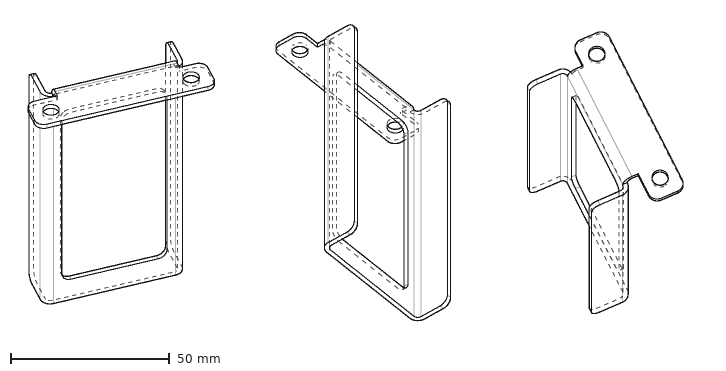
import cadquery as cq

thickness = 1.6
inner_bend = 1.6
outer_bend = inner_bend + thickness
corner_radius = 3.0

total_depth = 29.5
total_height = 90.0
tab_width = 59.85

channel_width = 47.3
channel_depth = 14.0
channel_height = total_height - outer_bend
wall_front = channel_depth - thickness
neck_width = channel_width - 2 * outer_bend

window_width = 35.1
window_height = 69.75
window_bottom = 8.55

tab_offset = -1.2
tab_front = 17.8
hole_diameter = 5.1
hole_spacing = 46.8
hole_x = 23.5


def make_channel():
    """U-shaped channel with bent back corners and rounded free corners."""
    outer = (
        cq.Workplane("XY")
        .box(channel_depth, channel_width, channel_height, centered=(False, True, False))
        .edges("|Z and >X")
        .fillet(outer_bend)
    )
    inner = (
        cq.Workplane("XY")
        .box(wall_front, channel_width - 2 * thickness, channel_height, centered=(False, True, False))
        .edges("|Z and >X")
        .fillet(inner_bend)
    )
    return outer.cut(inner).edges("|Y and <X").fillet(corner_radius)


def make_window():
    """Rounded rectangular cutter through the back wall."""
    return (
        cq.Workplane("XY")
        .box(channel_depth, window_width, window_height, centered=(False, True, False))
        .edges("|X")
        .fillet(corner_radius)
        .translate((wall_front - inner_bend, 0, window_bottom))
    )


def make_neck():
    """Backward bend from the top of the wall, with a flat strip reaching the tab."""
    bend_end = wall_front + outer_bend
    underside = total_height - thickness
    return (
        cq.Workplane("XZ")
        .moveTo(wall_front, channel_height)
        .radiusArc((bend_end, total_height), outer_bend)
        .lineTo(tab_front, total_height)
        .lineTo(tab_front, underside)
        .lineTo(bend_end, underside)
        .radiusArc((channel_depth, channel_height), -inner_bend)
        .close()
        .extrude(neck_width / 2, both=True)
    )


def make_tab():
    """Horizontal plate with rounded corners and two mounting holes."""
    tab_depth = total_depth - tab_front
    plate = (
        cq.Workplane("XY")
        .box(tab_depth, tab_width, thickness, centered=(False, True, False))
        .edges("|Z")
        .fillet(corner_radius)
        .translate((tab_front, 0, total_height - thickness))
    )
    holes = (
        cq.Workplane("XY", origin=(hole_x, 0, total_height - thickness))
        .pushPoints([(0, -hole_spacing / 2), (0, hole_spacing / 2)])
        .circle(hole_diameter / 2)
        .extrude(thickness)
    )
    return plate.cut(holes)


tab = make_tab().translate((0, tab_offset, 0))
result = make_channel().cut(make_window()).union(make_neck()).union(tab)